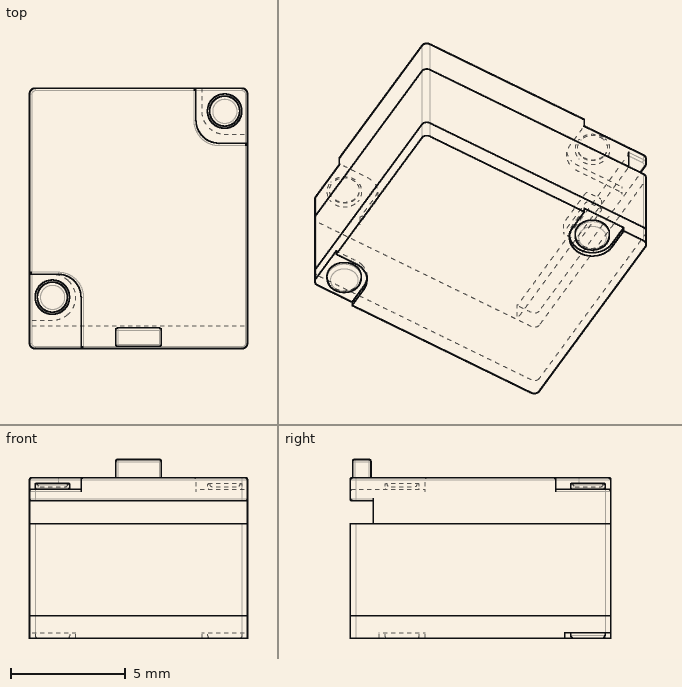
import cadquery as cq

LENGTH_X = 9.5
LENGTH_Y = 11.35
CORNER_RADIUS = 0.25
EDGE_FILLET = 0.1

BASE_TOP = 1.0
BODY_TOP = 5.0
LIP_BOTTOM = 5.99
SHELF_TOP = 6.5
COVER_TOP = 7.0
LIP_DEPTH = 1.0

BUTTON_X = 2.0
BUTTON_Y = 0.81
BUTTON_TOP = 7.8

TERMINAL_DIAMETER = 1.5
TERMINAL_SIDE_OFFSET = 1.0
FRONT_TERMINAL_OFFSET = 2.25
REAR_TERMINAL_OFFSET = 1.0

TOP_TERMINAL_HEIGHT = 0.25
TOP_TERMINAL_FILLET = 0.06
DISH_DIAMETER = 1.3
DISH_DEPTH = 0.15
DISH_FILLET = 0.12

BOTTOM_TERMINAL_HEIGHT = 0.25
BOTTOM_TERMINAL_FILLET = 0.15

COVER_POCKET_X = 2.25
FRONT_COVER_POCKET_Y = 3.25
REAR_COVER_POCKET_Y = 2.4
POCKET_RADIUS = 1.0

HALF_X = LENGTH_X / 2
HALF_Y = LENGTH_Y / 2
TERMINAL_X = HALF_X - TERMINAL_SIDE_OFFSET
FRONT_TERMINAL_Y = -HALF_Y + FRONT_TERMINAL_OFFSET
REAR_TERMINAL_Y = HALF_Y - REAR_TERMINAL_OFFSET
TERMINAL_CENTERS = [(-TERMINAL_X, FRONT_TERMINAL_Y), (TERMINAL_X, REAR_TERMINAL_Y)]
LIP_BACK_Y = -HALF_Y + LIP_DEPTH


def box_between(x_min, x_max, y_min, y_max, z_min, z_max):
    """Plain box given by its limits."""
    return cq.Workplane("XY").box(
        x_max - x_min, y_max - y_min, z_max - z_min, centered=False
    ).translate((x_min, y_min, z_min))


def housing_block(z_min, z_max):
    """Block with the housing outline and its rounded vertical corners."""
    block = box_between(-HALF_X, HALF_X, -HALF_Y, HALF_Y, z_min, z_max)
    return block.edges("|Z").fillet(CORNER_RADIUS)


def make_base():
    """Bottom plate with a pocket for each bottom terminal.

    The front pocket is a round-ended slot open at -X; the rear one is open at +X and +Y.
    """
    base = housing_block(0, BASE_TOP)
    front_end = (
        cq.Workplane("XY").center(-TERMINAL_X, FRONT_TERMINAL_Y)
        .circle(POCKET_RADIUS).extrude(BOTTOM_TERMINAL_HEIGHT)
    )
    front_slot = box_between(
        -HALF_X, -TERMINAL_X,
        FRONT_TERMINAL_Y - POCKET_RADIUS, FRONT_TERMINAL_Y + POCKET_RADIUS,
        0, BOTTOM_TERMINAL_HEIGHT,
    ).union(front_end)
    rear_pocket = box_between(
        TERMINAL_X - POCKET_RADIUS, HALF_X, REAR_TERMINAL_Y - POCKET_RADIUS, HALF_Y,
        0, BOTTOM_TERMINAL_HEIGHT,
    ).edges("|Z and <X and <Y").fillet(POCKET_RADIUS)
    return base.cut(front_slot).cut(rear_pocket)


def make_body():
    """Middle block of the housing."""
    return housing_block(BASE_TOP, BODY_TOP)


def make_cover():
    """Cover with an overhanging front lip and two stepped corner pockets."""
    rear = housing_block(BODY_TOP, SHELF_TOP).faces(">Z").edges().fillet(EDGE_FILLET)
    rear = rear.intersect(box_between(-HALF_X, HALF_X, LIP_BACK_Y, HALF_Y, BODY_TOP, SHELF_TOP))

    lip = housing_block(LIP_BOTTOM, SHELF_TOP).edges("not |Z").edges(">Z or <Z").fillet(EDGE_FILLET)
    lip = lip.intersect(box_between(-HALF_X, HALF_X, -HALF_Y, LIP_BACK_Y, LIP_BOTTOM, SHELF_TOP))

    raised_bottom = LIP_BOTTOM + EDGE_FILLET
    raised = housing_block(raised_bottom, COVER_TOP)
    front_pocket = box_between(
        -HALF_X, -HALF_X + COVER_POCKET_X, -HALF_Y, -HALF_Y + FRONT_COVER_POCKET_Y,
        raised_bottom, COVER_TOP,
    ).edges("|Z and >X and >Y").fillet(POCKET_RADIUS)
    rear_pocket = box_between(
        HALF_X - COVER_POCKET_X, HALF_X, HALF_Y - REAR_COVER_POCKET_Y, HALF_Y,
        raised_bottom, COVER_TOP,
    ).edges("|Z and <X and <Y").fillet(POCKET_RADIUS)
    raised = raised.cut(front_pocket).cut(rear_pocket)
    raised = raised.faces(">Z").edges().fillet(EDGE_FILLET)

    return rear.union(lip).union(raised)


def make_button():
    """Button standing on the cover, just behind the rounded front edge."""
    front_y = -HALF_Y + EDGE_FILLET
    button = box_between(
        -BUTTON_X / 2, BUTTON_X / 2, front_y, front_y + BUTTON_Y, COVER_TOP, BUTTON_TOP
    )
    return button.edges("|Z or >Z").fillet(EDGE_FILLET)


def make_top_terminal(center):
    """Dished terminal standing on a cover shelf."""
    head = cq.Workplane("XY").circle(TERMINAL_DIAMETER / 2).extrude(TOP_TERMINAL_HEIGHT)
    head = head.edges("%CIRCLE").fillet(TOP_TERMINAL_FILLET)
    dish = (
        cq.Workplane("XY").workplane(offset=TOP_TERMINAL_HEIGHT - DISH_DEPTH)
        .circle(DISH_DIAMETER / 2).extrude(DISH_DEPTH)
        .faces("<Z").edges().fillet(DISH_FILLET)
    )
    return head.cut(dish).translate((*center, SHELF_TOP))


def make_bottom_terminal(center):
    """Rounded terminal filling the depth of a base pocket."""
    head = cq.Workplane("XY").circle(TERMINAL_DIAMETER / 2).extrude(BOTTOM_TERMINAL_HEIGHT)
    return head.faces("<Z").edges().fillet(BOTTOM_TERMINAL_FILLET).translate((*center, 0))


base = make_base()
body = make_body()
cover = make_cover()
button = make_button()
top_terminals = [make_top_terminal(center).val() for center in TERMINAL_CENTERS]
bottom_terminals = [make_bottom_terminal(center).val() for center in TERMINAL_CENTERS]

result = cq.Compound.makeCompound(
    [base.val(), body.val(), cover.val(), button.val(), *top_terminals, *bottom_terminals]
)